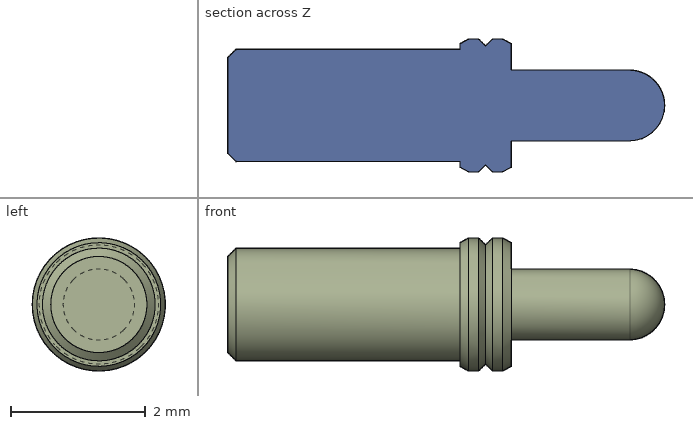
import cadquery as cq
import math

total_length = 6.5
body_diameter = 1.68
body_length = 3.45
body_chamfer = 0.125
collar_diameter = 1.98
collar_width = 0.77
collar_bevel_length = 0.13
collar_bevel_depth = 0.07
groove_depth = 0.105
tip_diameter = 1.06
dome_length = 0.52

body_radius = body_diameter / 2
collar_radius = collar_diameter / 2
tip_radius = tip_diameter / 2
collar_end = body_length + collar_width
groove_center = body_length + collar_width / 2
groove_half_width = groove_depth
rim_radius = collar_radius - collar_bevel_depth
dome_start = total_length - dome_length

dome_radius = (tip_radius**2 + dome_length**2) / (2 * dome_length)
dome_half_angle = math.atan(dome_length / tip_radius)
dome_mid_x = total_length - dome_radius * (1 - math.cos(dome_half_angle))
dome_mid_radius = dome_radius * math.sin(dome_half_angle)

profile = (
    cq.Workplane("XY")
    .moveTo(0, 0)
    .lineTo(0, body_radius - body_chamfer)
    .lineTo(body_chamfer, body_radius)
    .lineTo(body_length, body_radius)
    .lineTo(body_length, rim_radius)
    .lineTo(body_length + collar_bevel_length, collar_radius)
    .lineTo(groove_center - groove_half_width, collar_radius)
    .lineTo(groove_center, collar_radius - groove_depth)
    .lineTo(groove_center + groove_half_width, collar_radius)
    .lineTo(collar_end - collar_bevel_length, collar_radius)
    .lineTo(collar_end, rim_radius)
    .lineTo(collar_end, tip_radius)
    .lineTo(dome_start, tip_radius)
    .threePointArc((dome_mid_x, dome_mid_radius), (total_length, 0))
    .close()
)

result = profile.revolve(360, (0, 0, 0), (1, 0, 0))